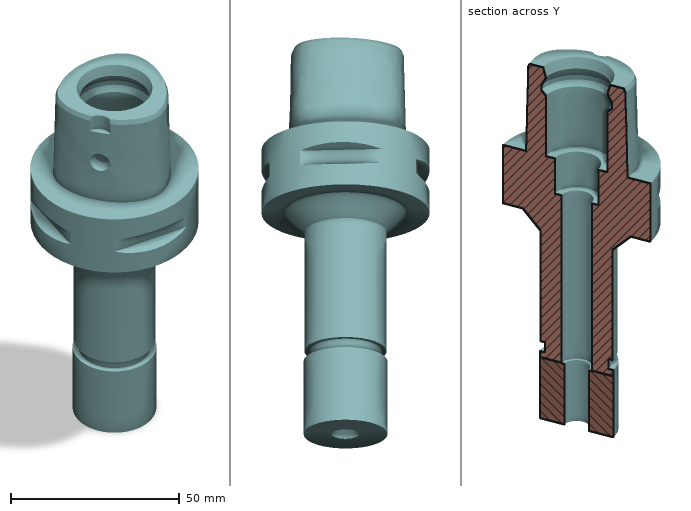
import cadquery as cq
import math

taper_height = 30.0
taper_base_radius = 17.5
taper_slope = 1 / 40
lobe_height = 1.02
rim_chamfer_height = 1.5
rim_chamfer_width = 0.6

flange_radius = 25.02
flange_height = 20.0
flange_chamfer = 0.1
slot_count = 4
slot_floor_distance = 21.8
slot_center_z = -10.1
slot_floor_half_height = 2.2
slot_mouth_half_height = 3.5

cone_radius = 18.2
shank_radius = 12.2
cone_bottom_z = -flange_height - (cone_radius - shank_radius)
neck_radius = 10.8
neck_top_z = -63.7
collar_top_z = -67.0
collar_radius = 12.5
nut_top_z = -69.2
bottom_z = taper_height - 120.0

mouth_radius = 11.3
groove_radius = 11.9
throat_depth = 3.4
groove_top_depth = 6.4
groove_bottom_depth = 7.9
groove_end_depth = 9.5
socket_radius = 10.3
socket_depth = taper_height
counterbore_radius = 7.3
counterbore_depth = 42.0
holder_bore_radius = 5.0
nut_bore_radius = 4.1

side_hole_radius = 3.1
side_hole_z = 14.0
side_hole_floor_y = -12.0
key_radius = 3.7
key_floor_y = -13.9
key_depth = 5.0


def lobed_wire(mean_radius, z):
    """Closed smooth outline with one lobe towards +Y, given by its support function."""
    def point(t):
        angle = 2 * math.pi * t
        support = mean_radius - lobe_height * math.sin(3 * angle)
        slope = -3 * lobe_height * math.cos(3 * angle)
        return (
            support * math.cos(angle) - slope * math.sin(angle),
            support * math.sin(angle) + slope * math.cos(angle),
            z,
        )

    return cq.Workplane("XY").parametricCurve(point, N=72).val()


def make_taper():
    """Tapered lobed shank with a chamfered rim."""
    chamfer_z = taper_height - rim_chamfer_height
    chamfer_radius = taper_base_radius - taper_slope * chamfer_z
    base = lobed_wire(taper_base_radius, 0)
    shoulder = lobed_wire(chamfer_radius, chamfer_z)
    rim = lobed_wire(chamfer_radius - rim_chamfer_width, taper_height)
    lower = cq.Workplane(cq.Solid.makeLoft([base, shoulder], True))
    upper = cq.Workplane(cq.Solid.makeLoft([shoulder, rim], True))
    return lower.union(upper)


def revolve_profile(points):
    """Turned solid from (radius, z) points."""
    return cq.Workplane("XZ").polyline(points).close().revolve(360, (0, 0), (0, 1))


def make_turned_body():
    """Flange, cone, shank, neck and collar."""
    return revolve_profile([
        (0, 0),
        (flange_radius - flange_chamfer, 0),
        (flange_radius, -flange_chamfer),
        (flange_radius, -flange_height),
        (cone_radius, -flange_height),
        (shank_radius, cone_bottom_z),
        (shank_radius, neck_top_z),
        (neck_radius, neck_top_z),
        (neck_radius, collar_top_z),
        (collar_radius, collar_top_z),
        (collar_radius, nut_top_z),
        (0, nut_top_z),
    ])


def make_bore():
    """Stepped bore through the holder, with a tapered mouth above an undercut groove."""
    steps = [
        (mouth_radius, 0),
        (socket_radius, throat_depth),
        (groove_radius, groove_top_depth),
        (groove_radius, groove_bottom_depth),
        (socket_radius, groove_end_depth),
        (socket_radius, socket_depth),
        (counterbore_radius, socket_depth),
        (counterbore_radius, counterbore_depth),
        (holder_bore_radius, counterbore_depth),
        (holder_bore_radius, taper_height - nut_top_z),
    ]
    wall = [(radius, taper_height - depth) for radius, depth in steps]
    return revolve_profile([(0, taper_height)] + wall + [(0, nut_top_z)])


def make_gripper_slot(angle):
    """Straight slot across the flange edge, widening outwards from its flat floor."""
    slot = (
        cq.Workplane("XZ")
        .polyline([
            (slot_floor_distance, slot_center_z - slot_floor_half_height),
            (flange_radius, slot_center_z - slot_mouth_half_height),
            (flange_radius, slot_center_z + slot_mouth_half_height),
            (slot_floor_distance, slot_center_z + slot_floor_half_height),
        ])
        .close()
        .extrude(flange_radius, both=True)
    )
    return slot.rotate((0, 0, 0), (0, 0, 1), angle)


def make_side_hole():
    """Flat-bottomed round hole entering from the -Y side."""
    return (
        cq.Workplane("XZ", origin=(0, side_hole_floor_y, side_hole_z))
        .circle(side_hole_radius)
        .extrude(taper_base_radius + side_hole_floor_y)
    )


def make_key_notch():
    """Round-backed notch in the rim on the -Y side."""
    return (
        cq.Workplane("XY", origin=(0, key_floor_y - key_radius, taper_height))
        .circle(key_radius)
        .extrude(-key_depth)
    )


def make_holder():
    holder = make_turned_body().union(make_taper())
    for index in range(slot_count):
        holder = holder.cut(make_gripper_slot((index + 0.5) * 360 / slot_count))
    return holder.cut(make_bore()).cut(make_side_hole()).cut(make_key_notch())


def make_nut():
    """Clamping nut below the collar, flush with it."""
    return (
        cq.Workplane("XY", origin=(0, 0, bottom_z))
        .circle(collar_radius)
        .circle(nut_bore_radius)
        .extrude(nut_top_z - bottom_z)
    )


holder = make_holder()
nut = make_nut()

result = cq.Compound.makeCompound([holder.val(), nut.val()])